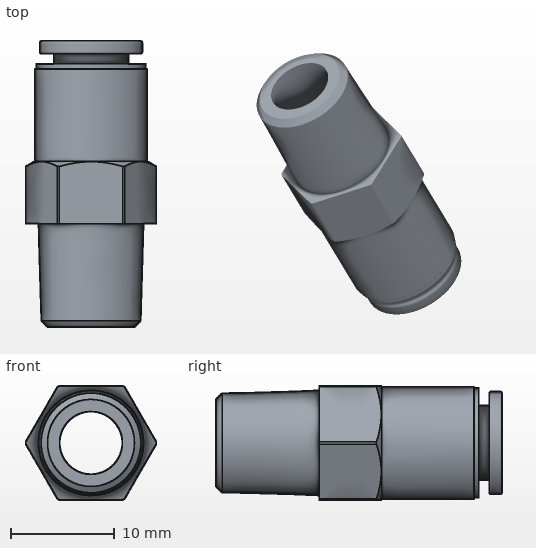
import cadquery as cq
import math

total_length = 27.55
bore_radius = 3.0

thread_length = 9.95
thread_root_radius = 5.07
thread_tip_radius = 4.8
thread_chamfer = 0.6

hex_length = 6.0
hex_across_flats = 11.0
hex_across_corners = 12.55
hex_chamfer_angle = 30.0

body_radius = 5.43
hex_chamfer_radius = body_radius
body_end = 24.88
body_edge_chamfer = 0.08
end_ring_radius = 5.3
end_ring_end = 25.32

neck_radius = 3.6
collar_radius = 4.95
collar_thickness = 1.27
collar_round = 0.25

hex_end = thread_length + hex_length
collar_start = total_length - collar_thickness


def revolve_profile(points):
    """Revolve an outline of (radius, y) points about the Y axis."""
    return cq.Workplane("XY").polyline(points).close().revolve(360, (0, 0, 0), (0, 1, 0))


def cylinder(radius, start, end):
    return revolve_profile([(0, start), (radius, start), (radius, end), (0, end)])


def make_thread():
    return revolve_profile([
        (0, 0),
        (thread_tip_radius - thread_chamfer, 0),
        (thread_tip_radius, thread_chamfer),
        (thread_root_radius, thread_length),
        (0, thread_length),
    ])


def make_hexagon():
    """Hexagon with corners along X, trimmed round and chamfered towards the body."""
    sharp_corners = hex_across_flats / math.cos(math.radians(30))
    prism = (
        cq.Workplane("XZ", origin=(0, thread_length, 0))
        .polygon(6, sharp_corners)
        .extrude(-hex_length)
    )
    corner_radius = hex_across_corners / 2
    chamfer_drop = (corner_radius - hex_chamfer_radius) * math.tan(math.radians(hex_chamfer_angle))
    envelope = revolve_profile([
        (0, thread_length),
        (corner_radius, thread_length),
        (corner_radius, hex_end - chamfer_drop),
        (hex_chamfer_radius, hex_end),
        (0, hex_end),
    ])
    return prism.intersect(envelope)


def make_body():
    body = cylinder(body_radius, hex_end, body_end).faces(">Y").chamfer(body_edge_chamfer)
    return body.union(cylinder(end_ring_radius, body_end, end_ring_end))


def make_collar():
    neck = cylinder(neck_radius, end_ring_end, collar_start)
    disc = cylinder(collar_radius, collar_start, total_length).edges().fillet(collar_round)
    return neck.union(disc)


result = (
    make_thread()
    .union(make_hexagon())
    .union(make_body())
    .union(make_collar())
    .cut(cylinder(bore_radius, 0, total_length))
)